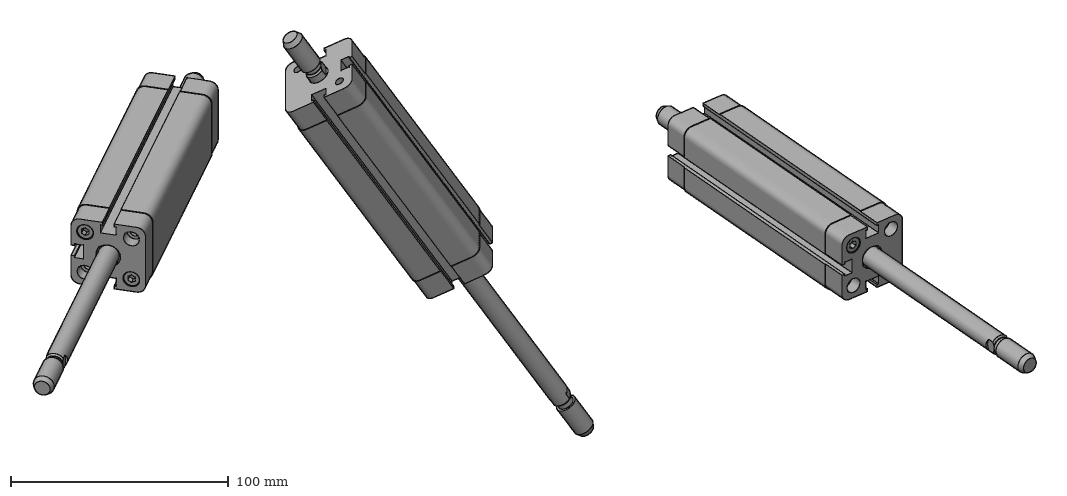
import cadquery as cq
import math

TUBE_LENGTH = 104.0
COVER_LENGTH = 12.25
TUBE_SIDE = 36.1
COVER_SIDE = 35.4
CORNER_CENTRE_SPACING = 27.0

SLOT_MOUTH_WIDTH = 5.6
SLOT_INNER_WIDTH = 7.5
SLOT_FLOOR_FROM_AXIS = 11.8
SLOT_LIP_FROM_AXIS = 16.1

SCREW_SPACING = 22.0
THROUGH_HOLE_DIAMETER = 4.13
THROUGH_COUNTERBORE_DIAMETER = 7.5
THROUGH_COUNTERBORE_DEPTH = 6.0
SCREW_RECESS_DIAMETER = 8.0
SCREW_RECESS_FLOOR_DIAMETER = 7.4
SCREW_RECESS_DEPTH = 0.35
SCREW_SOCKET_ACROSS_FLATS = 3.5
SCREW_SOCKET_DEPTH = 3.0

ROD_RECESS_DIAMETER = 11.6
ROD_RECESS_DEPTH = 1.0

ROD_DIAMETER = 10.0
FRONT_ROD_LENGTH = 116.3
REAR_ROD_LENGTH = 26.2
TIP_DIAMETER = 7.5
TIP_TAPER_LENGTH = 2.6
THREAD_LENGTH = 18.9
NECK_DIAMETER = 7.8
NECK_END = 21.5
SHOULDER_CHAMFER = 0.8
WRENCH_FLAT_WIDTH = 8.0
WRENCH_FLAT_END = 26.2
FLAT_END_RADIUS = 5.0

BODY_LENGTH = TUBE_LENGTH + 2 * COVER_LENGTH
FRONT_TIP_Y = -FRONT_ROD_LENGTH
REAR_TIP_Y = BODY_LENGTH + REAR_ROD_LENGTH
ROD_RADIUS = ROD_DIAMETER / 2


def cylinder_along_y(diameter, start_y, length, x=0.0, z=0.0):
    """Solid cylinder running from start_y towards +Y."""
    return cq.Workplane(cq.Solid.makeCylinder(
        diameter / 2, length, cq.Vector(x, start_y, z), cq.Vector(0, 1, 0)))


def rounded_bar(side, start_y, length):
    """Square bar along Y; every bar shares the same corner arc centres."""
    corner_radius = (side - CORNER_CENTRE_SPACING) / 2
    return (
        cq.Workplane("XY")
        .box(side, length, side, centered=(True, False, True))
        .edges("|Y")
        .fillet(corner_radius)
        .translate((0, start_y, 0))
    )


def t_slot_cutter():
    """T-slot along the whole body, opening towards +Z."""
    mouth_height = TUBE_SIDE - SLOT_FLOOR_FROM_AXIS
    mouth = cq.Workplane("XY").box(
        SLOT_MOUTH_WIDTH, BODY_LENGTH, mouth_height, centered=(True, False, False))
    undercut = cq.Workplane("XY").box(
        SLOT_INNER_WIDTH, BODY_LENGTH, SLOT_LIP_FROM_AXIS - SLOT_FLOOR_FROM_AXIS,
        centered=(True, False, False))
    return mouth.union(undercut).translate((0, 0, SLOT_FLOOR_FROM_AXIS))


def make_body():
    """Profile tube between two slightly smaller covers, slotted on +Z, -Z and -X."""
    body = rounded_bar(COVER_SIDE, 0, BODY_LENGTH)
    body = body.union(rounded_bar(TUBE_SIDE, COVER_LENGTH, TUBE_LENGTH))
    for slot_angle in (0, 180, -90):
        body = body.cut(t_slot_cutter().rotate((0, 0, 0), (0, 1, 0), slot_angle))
    return body


def screw_head_cutter():
    """Shallow tapered recess around a flush screw head, with its hexagon socket."""
    recess = cq.Workplane(cq.Solid.makeCone(
        SCREW_RECESS_DIAMETER / 2, SCREW_RECESS_FLOOR_DIAMETER / 2, SCREW_RECESS_DEPTH,
        cq.Vector(0, 0, 0), cq.Vector(0, 1, 0)))
    corner_diameter = SCREW_SOCKET_ACROSS_FLATS / math.cos(math.pi / 6)
    socket = (
        cq.Workplane("ZX")
        .polygon(6, corner_diameter)
        .extrude(SCREW_RECESS_DEPTH + SCREW_SOCKET_DEPTH)
    )
    return recess.union(socket)


def cut_screw_holes(body):
    """Two counterbored through holes on one diagonal, two recessed screw heads on the other."""
    offset = SCREW_SPACING / 2
    for side in (1, -1):
        x = side * offset
        z = side * offset
        body = body.cut(cylinder_along_y(THROUGH_HOLE_DIAMETER, 0, BODY_LENGTH, x, z))
        body = body.cut(cylinder_along_y(
            THROUGH_COUNTERBORE_DIAMETER, 0, THROUGH_COUNTERBORE_DEPTH, x, z))
        body = body.cut(screw_head_cutter().translate((x, 0, -z)))
    return body


def make_rod_end_cut():
    """Material removed from a plain rod whose tip is at Y = 0 and which runs towards +Y."""
    neck_radius = NECK_DIAMETER / 2
    neck = (
        cq.Workplane("XY")
        .moveTo(neck_radius, THREAD_LENGTH)
        .lineTo(ROD_DIAMETER, THREAD_LENGTH)
        .lineTo(ROD_DIAMETER, NECK_END + SHOULDER_CHAMFER)
        .lineTo(ROD_RADIUS, NECK_END + SHOULDER_CHAMFER)
        .lineTo(ROD_RADIUS - SHOULDER_CHAMFER, NECK_END)
        .lineTo(neck_radius, NECK_END)
        .close()
        .revolve(360, (0, 0, 0), (0, 1, 0))
    )
    taper = (
        cq.Workplane("XY")
        .moveTo(TIP_DIAMETER / 2, 0)
        .lineTo(ROD_RADIUS, TIP_TAPER_LENGTH)
        .lineTo(ROD_RADIUS, 0)
        .close()
        .revolve(360, (0, 0, 0), (0, 1, 0))
    )
    cut = neck.union(taper)
    half_flat = WRENCH_FLAT_WIDTH / 2
    half_chord = math.sqrt(ROD_RADIUS**2 - half_flat**2)
    arc_sag = FLAT_END_RADIUS - math.sqrt(FLAT_END_RADIUS**2 - half_chord**2)
    for side in (1, -1):
        flat = (
            cq.Workplane("YZ", origin=(side * half_flat, 0, 0))
            .moveTo(THREAD_LENGTH, -half_chord)
            .lineTo(WRENCH_FLAT_END - arc_sag, -half_chord)
            .threePointArc((WRENCH_FLAT_END, 0), (WRENCH_FLAT_END - arc_sag, half_chord))
            .lineTo(THREAD_LENGTH, half_chord)
            .close()
            .extrude(side * ROD_RADIUS)
        )
        cut = cut.union(flat)
    return cut


def make_rod():
    """Through rod with a threaded end, neck and wrench flats at both tips."""
    rod = cylinder_along_y(ROD_DIAMETER, FRONT_TIP_Y, REAR_TIP_Y - FRONT_TIP_Y)
    end_cut = make_rod_end_cut()
    rod = rod.cut(end_cut.translate((0, FRONT_TIP_Y, 0)))
    rod = rod.cut(end_cut.mirror("XZ").translate((0, REAR_TIP_Y, 0)))
    return rod


body = cut_screw_holes(make_body())
body = body.cut(cylinder_along_y(ROD_RECESS_DIAMETER, 0, ROD_RECESS_DEPTH))
result = body.union(make_rod())